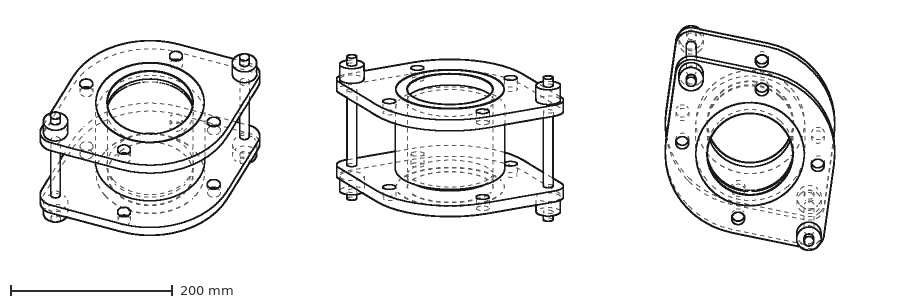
import cadquery as cq
import math

plate_outer_radius = 104.8
plate_tip_radius = 19.0
overall_length = 291.0
plate_bottom_z = 49.5
plate_top_z = 64.0

bolt_hole_count = 4
bolt_circle_radius = 85.0
bolt_hole_diameter = 16.0

bore_diameter = 105.3
bore_edge_chamfer = 0.5
neck_diameter = 107.0
neck_fillet = 2.5
body_diameter = 135.5
body_height = 86.0
body_fillet = 3.5
seal_face_diameter = 134.0
seal_face_height = 1.0

overall_height = 188.0
rod_diameter = 12.2
nut_diameter = 30.3
nut_height = 19.5

plate_thickness = plate_top_z - plate_bottom_z
seal_face_z = plate_top_z + seal_face_height
rod_offset = overall_length / 2 - plate_tip_radius


def plate_outline(workplane):
    """Large central arc joined by tangent lines to a small arc at each tip."""
    tangent_sin = (plate_outer_radius - plate_tip_radius) / rod_offset
    tangent_cos = math.sqrt(1 - tangent_sin**2)
    side_x = plate_outer_radius * tangent_cos
    side_y = plate_outer_radius * tangent_sin
    tip_x = plate_tip_radius * tangent_cos
    tip_y = rod_offset + plate_tip_radius * tangent_sin
    return (
        workplane.moveTo(side_x, -side_y)
        .threePointArc((plate_outer_radius, 0), (side_x, side_y))
        .lineTo(tip_x, tip_y)
        .threePointArc((0, overall_length / 2), (-tip_x, tip_y))
        .lineTo(-side_x, side_y)
        .threePointArc((-plate_outer_radius, 0), (-side_x, -side_y))
        .lineTo(-tip_x, -tip_y)
        .threePointArc((0, -overall_length / 2), (tip_x, -tip_y))
        .close()
    )


def make_plate(base_z):
    plate = plate_outline(cq.Workplane("XY").workplane(offset=base_z)).extrude(plate_thickness)
    holes = (
        cq.Workplane("XY")
        .workplane(offset=base_z)
        .polarArray(bolt_circle_radius, 180 / bolt_hole_count, 360, bolt_hole_count)
        .circle(bolt_hole_diameter / 2)
        .extrude(plate_thickness)
    )
    return plate.cut(holes)


def centred_cylinder(diameter, height):
    return cq.Workplane("XY").workplane(offset=-height / 2).circle(diameter / 2).extrude(height)


def make_sleeve():
    """Thick rounded body with a thin neck flaring out of it towards each sealing face."""
    body = centred_cylinder(body_diameter, body_height).edges("%CIRCLE").fillet(body_fillet)
    neck = centred_cylinder(neck_diameter, 2 * seal_face_z)
    box_x = neck_diameter / 2 + neck_fillet
    box_z = body_height / 2 + neck_fillet
    neck_roots = cq.selectors.BoxSelector((-box_x, -box_x, -box_z), (box_x, box_x, box_z), boundingbox=True)
    return body.union(neck).edges(neck_roots).fillet(neck_fillet)


def make_seal_face(base_z):
    face_plane = cq.Workplane("XY").workplane(offset=base_z)
    return face_plane.circle(seal_face_diameter / 2).extrude(seal_face_height)


def make_tie_rod(y):
    rod = centred_cylinder(rod_diameter, overall_height)
    for nut_base_z in (plate_top_z, -plate_top_z - nut_height):
        nut = cq.Workplane("XY").workplane(offset=nut_base_z).circle(nut_diameter / 2).extrude(nut_height)
        rod = rod.union(nut)
    return rod.translate((0, y, 0))


def make_bore():
    """Through bore, opened slightly by a chamfer at both ends."""
    bore_radius = bore_diameter / 2
    mouth_radius = bore_radius + bore_edge_chamfer
    straight_z = seal_face_z - bore_edge_chamfer
    return (
        cq.Workplane("XZ")
        .moveTo(0, -seal_face_z)
        .lineTo(mouth_radius, -seal_face_z)
        .lineTo(bore_radius, -straight_z)
        .lineTo(bore_radius, straight_z)
        .lineTo(mouth_radius, seal_face_z)
        .lineTo(0, seal_face_z)
        .close()
        .revolve(360, (0, 0, 0), (0, 1, 0))
    )


result = make_sleeve()
for plate_base_z in (plate_bottom_z, -plate_top_z):
    result = result.union(make_plate(plate_base_z))
for face_base_z in (plate_top_z, -seal_face_z):
    result = result.union(make_seal_face(face_base_z))
for rod_y in (-rod_offset, rod_offset):
    result = result.union(make_tie_rod(rod_y))
result = result.cut(make_bore())